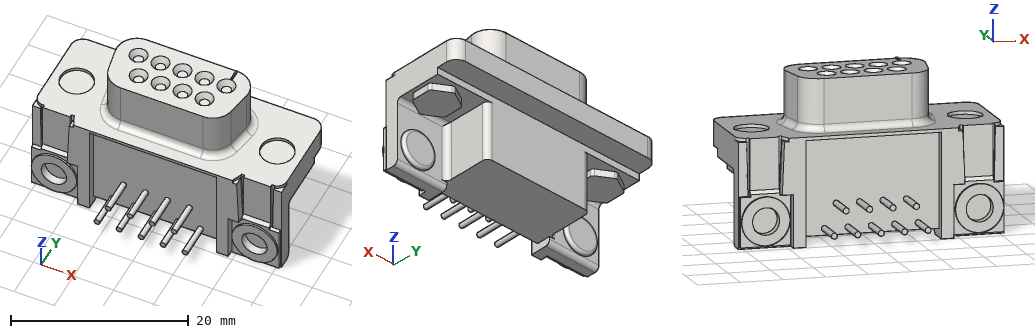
import cadquery as cq
import math


half_width = 15.52
rear_y = 6.3
front_y = -6.3
leg_front_y = -5.24
leg_rear_y = -3.33
bottom_z = -12.7
flange_bottom_z = -2.9
block_rear_y = 3.32
block_bottom_z = -3.83
rear_corner_radius = 1.5
bracket_inner_radius = 0.6
leg_bottom_radius = 0.65

plate_thickness = 0.39
plate_front_y = -5.0
plate_front_radius = 1.25
jack_x = 12.5
jack_hole_radius = 2.0

neck_height = 6.1
neck_half_depth = 3.98
neck_half_width_mid = 7.98
neck_side_angle = 10
neck_corner_radius = 2.54
neck_base_radius = 0.84

contact_pitch = 2.74
row_offset = 1.42
row_counts = {1: 5, -1: 4}
socket_outer_radius = 1.06
socket_inner_radius = 0.58
socket_depth = 0.69
pin_radius = 0.35
pin_tip_y = -9.42
pin_middle_z = -9.46

mark_width = 0.2
mark_rear_y = 3.87
mark_front_y = 2.52
mark_height = 0.15

wall_half_width_top = 10.42
wall_half_width_step = 10.69
wall_half_width_leg = 9.38
wall_step_z = -6.54
insulator_half_width = 7.91
insulator_front_y = -5.3
insulator_bottom_z = -11.67
insulator_radius = 0.75
notch_inner_x = 9.94
notch_front_y = -6.1
notch_rear_y = -5.1

tab_inner_x = 10.8
tab_outer_x = 14.22
tab_front_y = -5.32
tab_bend_top_z = -5.98
tab_bend_bottom_z = -6.36
slot_rear_y = -4.95
slot_outer_x_top = 14.55
slot_outer_x_bottom = 14.42
pad_inner_x = 9.56
pad_outer_x = 15.42
pad_top_z = -6.64
pad_bottom_z = -12.42
pad_front_y = -5.74

eyelet_z = -9.5
eyelet_radius = 2.82
eyelet_front_y = -5.98
eyelet_bore_radius = 1.58
eyelet_bore_depth = 1.05
flare_radius = 2.5
flare_height = 0.55
flare_edge_radius = 0.4

nut_sides = 6
nut_across_flats = 5.0
nut_corner_radius = 0.5
nut_bottom_z = -4.77


def box(x0, x1, y0, y1, z0, z1):
    """Axis-aligned box between two corners."""
    return cq.Workplane("XY").box(x1 - x0, y1 - y0, z1 - z0, centered=False).translate((x0, y0, z0))


def cylinder_y(radius, x, z, y_start, y_end):
    """Cylinder along Y between two Y positions."""
    length = y_end - y_start
    base = cq.Workplane("XZ", origin=(x, y_start, z)).circle(radius)
    return base.extrude(-length)


def prism_y(points, y_start, y_end):
    """XZ outline extruded between two Y positions."""
    outline = cq.Workplane("XZ", origin=(0, y_start, 0)).polyline(points).close()
    return outline.extrude(y_start - y_end)


def both_sides(body):
    """The body together with its mirror image across X = 0."""
    return body.union(body.mirror("YZ"))


def make_bracket():
    """Flange block and legs from one L-shaped side profile."""
    profile = [
        (rear_y, 0),
        (rear_y, flange_bottom_z),
        (block_rear_y, flange_bottom_z),
        (block_rear_y, block_bottom_z),
        (leg_rear_y, block_bottom_z),
        (leg_rear_y, bottom_z),
        (leg_front_y, bottom_z),
        (leg_front_y, 0),
    ]
    side = cq.Workplane("YZ", origin=(-half_width, 0, 0)).polyline(profile).close()
    body = side.extrude(2 * half_width)
    inner_edge = cq.selectors.NearestToPointSelector((0, leg_rear_y, block_bottom_z))
    bottom_edge = cq.selectors.NearestToPointSelector((0, leg_rear_y, bottom_z))
    body = body.edges(inner_edge).fillet(bracket_inner_radius)
    body = body.edges(bottom_edge).fillet(leg_bottom_radius)
    body = body.faces(">Y").edges("|Z").fillet(rear_corner_radius)
    gap = box(
        -insulator_half_width, insulator_half_width,
        leg_front_y, leg_rear_y,
        bottom_z, insulator_bottom_z,
    )
    return body.cut(gap)


def make_front_wall():
    """Central wall that narrows to two legs beside the open insulator face."""
    right_half = [
        (0, 0),
        (wall_half_width_top, 0),
        (wall_half_width_step, wall_step_z),
        (wall_half_width_leg, wall_step_z),
        (wall_half_width_leg, bottom_z),
        (insulator_half_width, bottom_z),
        (insulator_half_width, -plate_thickness),
        (0, -plate_thickness),
    ]
    return both_sides(prism_y(right_half, leg_front_y, front_y))


def make_insulator():
    """Block behind the front wall, blended into the rear of the legs."""
    block = box(
        -insulator_half_width, insulator_half_width,
        insulator_front_y, block_rear_y,
        insulator_bottom_z, -plate_thickness,
    )
    block = block.faces(">Y").edges("|Z").fillet(insulator_radius)
    blend_x = insulator_half_width + insulator_radius
    blend_y = leg_rear_y + insulator_radius
    height = block_bottom_z - insulator_bottom_z
    blend = box(insulator_half_width, blend_x, leg_rear_y, blend_y, insulator_bottom_z, block_bottom_z)
    scoop = cq.Workplane("XY", origin=(blend_x, blend_y, insulator_bottom_z)).circle(insulator_radius)
    return block.union(both_sides(blend.cut(scoop.extrude(height))))


def cut_tab_slots(body):
    """Drafted slots, open at the top and front, that hold the tabs."""
    slot = prism_y(
        [
            (wall_half_width_top, 0),
            (slot_outer_x_top, 0),
            (slot_outer_x_bottom, pad_top_z),
            (wall_half_width_step, pad_top_z),
        ],
        slot_rear_y, leg_front_y,
    )
    return body.cut(both_sides(slot))


def cut_plate_outline(body):
    """Clear the plate layer around its rounded front corners and beside its front tongue."""
    corner_x = half_width - plate_front_radius
    corner_y = plate_front_y + plate_front_radius
    corner = box(corner_x, half_width, leg_front_y, corner_y, -plate_thickness, 0)
    round_end = cq.Workplane("XY", origin=(corner_x, corner_y, 0)).circle(plate_front_radius)
    corner = corner.cut(round_end.extrude(-plate_thickness))
    notch = cq.Workplane("XY").polyline([
        (wall_half_width_top, notch_rear_y),
        (notch_inner_x, notch_front_y),
        (notch_inner_x, front_y),
        (wall_half_width_step, front_y),
        (wall_half_width_step, notch_rear_y),
    ]).close().extrude(-plate_thickness)
    return body.cut(both_sides(corner.union(notch)))


def cut_jack_holes(body):
    """Round openings in the plate layer."""
    holes = cq.Workplane("XY").pushPoints([(-jack_x, 0), (jack_x, 0)]).circle(jack_hole_radius)
    return body.cut(holes.extrude(-plate_thickness))


def make_neck():
    """D-shaped neck with rounded corners."""
    taper = neck_half_depth * math.tan(math.radians(neck_side_angle))
    wide = neck_half_width_mid + taper
    narrow = neck_half_width_mid - taper
    outline = [
        (-wide, neck_half_depth),
        (wide, neck_half_depth),
        (narrow, -neck_half_depth),
        (-narrow, -neck_half_depth),
    ]
    neck = cq.Workplane("XY").polyline(outline).close().extrude(neck_height)
    return neck.edges("|Z").fillet(neck_corner_radius)


def add_neck(body):
    """Join the neck to the flange and round the inside corner between them."""
    body = body.union(make_neck())
    margin = 0.1
    reach_x = neck_half_width_mid + neck_half_depth * math.tan(math.radians(neck_side_angle))
    reach_y = neck_half_depth + margin
    region = cq.selectors.BoxSelector(
        (-reach_x, -reach_y, -margin), (reach_x, reach_y, margin), boundingbox=True
    )
    return body.edges(region).fillet(neck_base_radius)


def row_positions(count):
    """X positions of a centred contact row."""
    return [(i - (count - 1) / 2) * contact_pitch for i in range(count)]


def cut_sockets(body):
    """Conical lead-in of every contact."""
    floor_z = neck_height - socket_depth
    cone = cq.Solid.makeCone(socket_inner_radius, socket_outer_radius, socket_depth)
    for side, count in row_counts.items():
        for x in row_positions(count):
            body = body.cut(cq.Workplane(cone.translate(cq.Vector(x, side * row_offset, floor_z))))
    return body


def add_pins(body):
    """Round solder pins; the five-pin row is the lower one."""
    for side, count in row_counts.items():
        z = pin_middle_z - side * row_offset
        for x in row_positions(count):
            body = body.union(cylinder_y(pin_radius, x, z, pin_tip_y, leg_rear_y))
    return body


def make_contact_mark():
    """Raised bar behind the last contact of the rear row."""
    x = row_positions(row_counts[1])[-1]
    return box(x, x + mark_width, mark_front_y, mark_rear_y, neck_height, neck_height + mark_height)


def make_board_lock():
    """Tab, pad and eyelet of the +X side."""
    strap = cq.Workplane("YZ", origin=(tab_inner_x, 0, 0)).polyline([
        (slot_rear_y, 0),
        (tab_front_y, 0),
        (tab_front_y, tab_bend_top_z),
        (pad_front_y, tab_bend_bottom_z),
        (pad_front_y, pad_top_z),
        (slot_rear_y, pad_top_z),
    ]).close().extrude(tab_outer_x - tab_inner_x)
    pad = box(pad_inner_x, pad_outer_x, pad_front_y, leg_front_y, pad_bottom_z, pad_top_z)
    rim = cylinder_y(eyelet_radius, jack_x, eyelet_z, eyelet_front_y, leg_front_y)
    flare = cylinder_y(flare_radius, jack_x, eyelet_z, leg_rear_y, leg_rear_y + flare_height)
    flare = flare.faces(">Y").edges().fillet(flare_edge_radius)
    return strap.union(pad).union(rim).union(flare)


def cut_eyelet_bores(body):
    """Blind bores in the front of the eyelets."""
    bore_end_y = eyelet_front_y + eyelet_bore_depth
    bore = cylinder_y(eyelet_bore_radius, jack_x, eyelet_z, eyelet_front_y, bore_end_y)
    return body.cut(both_sides(bore))


def make_nut():
    """Hexagonal nut with rounded corners and two flats facing along X."""
    across_corners = nut_across_flats / math.cos(math.pi / nut_sides)
    nut = cq.Workplane("XY").polygon(nut_sides, across_corners).extrude(block_bottom_z - nut_bottom_z)
    nut = nut.edges("|Z").fillet(nut_corner_radius).rotate((0, 0, 0), (0, 0, 1), 90)
    return nut.translate((jack_x, 0, nut_bottom_z))


body = make_bracket().union(make_front_wall()).union(make_insulator())
body = add_neck(body)
body = cut_tab_slots(body)
body = cut_plate_outline(body)
body = cut_jack_holes(body)
body = body.union(both_sides(make_board_lock())).union(both_sides(make_nut()))
body = cut_eyelet_bores(body)
body = cut_sockets(body)
body = add_pins(body)
result = body.union(make_contact_mark())